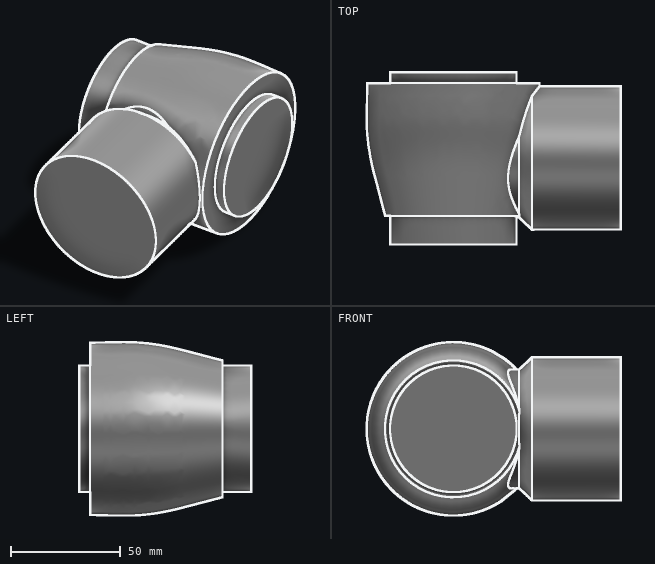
import cadquery as cq

overall_length = 116.0

body_back_y = 34.1
body_front_y = -26.3
body_back_radius = 39.3
body_widest_diameter = 79.2
body_widest_radius = body_widest_diameter / 2
body_widest_y = 17.4
body_waist_y = -8.1
body_waist_radius = 36.0
body_front_radius = 31.2

plug_radius = 28.9
plug_back_y = 39.1
plug_front_y = -39.4

branch_end_x = overall_length - body_widest_radius
branch_radius = 32.7
neck_radius = 27.1
cone_start_x = 29.9
cone_end_x = 35.8


def make_body():
    """Barrel with one smooth side that bulges at the back and tapers to the front."""
    side_points = [
        (body_waist_radius, body_waist_y),
        (body_widest_radius, body_widest_y),
        (body_back_radius, body_back_y),
    ]
    taper_direction = (body_waist_radius - body_front_radius, body_waist_y - body_front_y)
    along_axis = (0, 1)
    back_direction = (body_back_radius - body_widest_radius, body_back_y - body_widest_y)
    return (
        cq.Workplane("XY")
        .moveTo(0, body_front_y)
        .lineTo(body_front_radius, body_front_y)
        .spline(
            side_points,
            tangents=[taper_direction, taper_direction, along_axis, back_direction],
            includeCurrent=True,
        )
        .lineTo(0, body_back_y)
        .close()
        .revolve(360, (0, 0, 0), (0, 1, 0))
    )


def make_plug():
    """Cylinder along Y running through the body."""
    return (
        cq.Workplane("XZ", origin=(0, plug_back_y, 0))
        .circle(plug_radius)
        .extrude(plug_back_y - plug_front_y)
    )


def make_branch():
    """Neck, cone and cylinder along X, starting at the body axis."""
    return (
        cq.Workplane("XY")
        .lineTo(0, neck_radius)
        .lineTo(cone_start_x, neck_radius)
        .lineTo(cone_end_x, branch_radius)
        .lineTo(branch_end_x, branch_radius)
        .lineTo(branch_end_x, 0)
        .close()
        .revolve(360, (0, 0, 0), (1, 0, 0))
    )


result = make_body().union(make_plug()).union(make_branch())